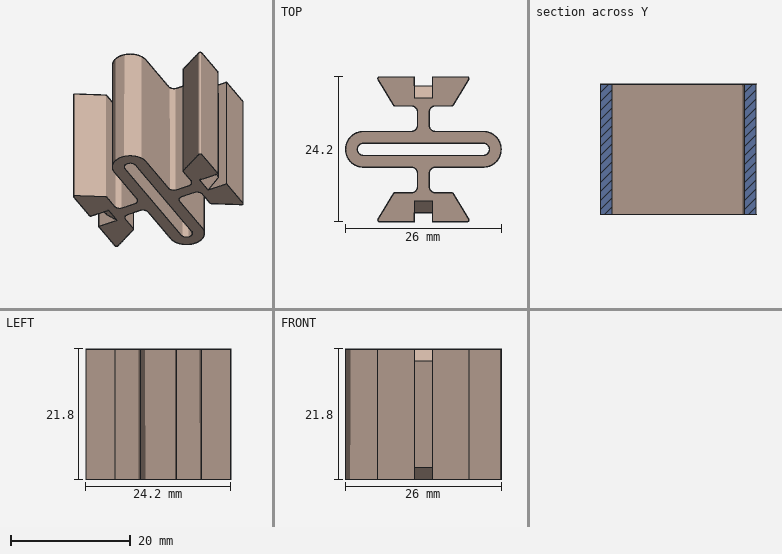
import cadquery as cq

height = 21.8
depth = 24.2

loop_length = 26.0
loop_width = 6.0
wall = 2.0

head_thickness = 4.87
head_outer_width = 15.7
head_inner_width = 9.8
head_edge_radius = 0.3

web_thickness = 2.0
web_fillet = 1.0

groove_width = 3.0
groove_depth = 1.5
groove_end_depth = 3.5
groove_ramp_height = 2.0

head_outer_y = depth / 2
head_inner_y = head_outer_y - head_thickness
loop_y = loop_width / 2


def make_loop_outline():
    return cq.Workplane("XY").slot2D(loop_length, loop_width).extrude(height)


def make_head():
    """Dovetail head on the +Y side with its four long edges rounded."""
    outer_x = head_outer_width / 2
    inner_x = head_inner_width / 2
    outline = [
        (-inner_x, head_inner_y),
        (inner_x, head_inner_y),
        (outer_x, head_outer_y),
        (-outer_x, head_outer_y),
    ]
    head = cq.Workplane("XY").polyline(outline).close().extrude(height)
    return head.edges("|Z").fillet(head_edge_radius)


def make_web():
    """Web from the loop's centre line to the inner face of the +Y head."""
    return (
        cq.Workplane("XY")
        .center(0, head_inner_y / 2)
        .rect(web_thickness, head_inner_y)
        .extrude(height)
    )


def make_web_corner(side, face_y, direction):
    """Concave fillet where the web meets a face; direction points away from that face."""
    corner_x = side * web_thickness / 2
    far_x = corner_x + side * web_fillet
    far_y = face_y + direction * web_fillet
    block = (
        cq.Workplane("XY")
        .center((corner_x + far_x) / 2, (face_y + far_y) / 2)
        .rect(web_fillet, web_fillet)
        .extrude(height)
    )
    rounding = cq.Workplane("XY").center(far_x, far_y).circle(web_fillet).extrude(height)
    return block.cut(rounding)


def make_groove():
    """Groove cutter for the +Y head, with a sloped floor at each end."""
    floor_y = head_outer_y - groove_depth
    end_floor_y = head_outer_y - groove_end_depth
    profile = [
        (head_outer_y, 0),
        (end_floor_y, 0),
        (floor_y, groove_ramp_height),
        (floor_y, height - groove_ramp_height),
        (end_floor_y, height),
        (head_outer_y, height),
    ]
    return cq.Workplane("YZ").polyline(profile).close().extrude(groove_width / 2, both=True)


def make_side():
    """Web, fillets and grooved head on the +Y side."""
    side_body = make_web().union(make_head())
    for side in (-1, 1):
        side_body = side_body.union(make_web_corner(side, loop_y, 1))
        side_body = side_body.union(make_web_corner(side, head_inner_y, -1))
    return side_body.cut(make_groove())


def make_loop_opening():
    return cq.Workplane("XY").slot2D(loop_length - 2 * wall, loop_width - 2 * wall).extrude(height)


side_body = make_side()
result = (
    make_loop_outline()
    .union(side_body)
    .union(side_body.mirror("XZ"))
    .cut(make_loop_opening())
)